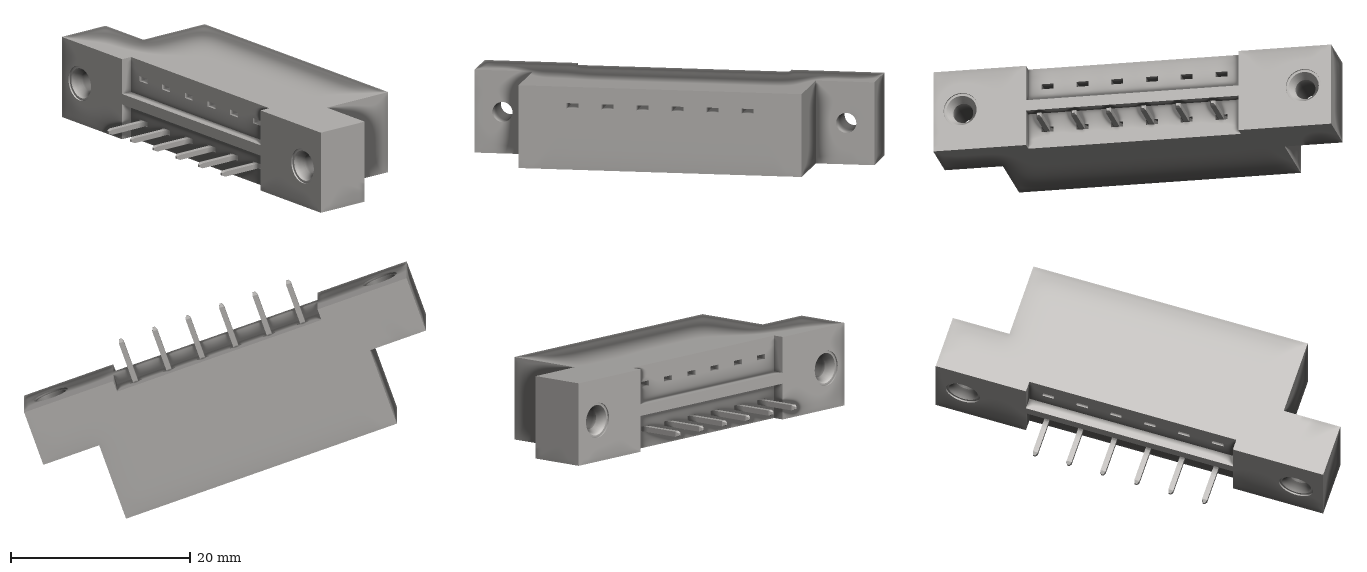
import cadquery as cq

housing_length = 45.3
housing_height = 9.4
housing_depth = 15.22
nose_length = 32.1
ear_depth = 6.35

recess_length = 24.2
recess_depth = 1.25
rib_height = 1.22

contact_count = 6
contact_row_span = 19.8
row_spacing = 5.07
slot_width = 1.35
slot_height = 0.6

pin_width = 0.6
pin_reach = 3.85
pin_tip_length = 0.35
pin_tip_width = 0.25
shoulder_length = 1.0
shoulder_setback = 0.25

mount_spacing = 38.95
bushing_radius = 2.0
bushing_recess = 0.2
bushing_mouth_radius = 1.7
bushing_lip_radius = 1.6
bushing_lip_depth = 0.23
bushing_bore_radius = 1.15
bushing_mouth_depth = 1.0

recess_height = (housing_height - rib_height) / 2
pin_row_z = -row_spacing / 2
contact_pitch = contact_row_span / (contact_count - 1)
contact_xs = [(i - (contact_count - 1) / 2) * contact_pitch for i in range(contact_count)]
mount_xs = [-mount_spacing / 2, mount_spacing / 2]


def block(length, depth, height, y_start=0.0, z_center=0.0):
    """Box centred on X whose front face lies at y_start."""
    box = cq.Workplane("XY").box(length, depth, height, centered=(True, False, True))
    return box.translate((0, y_start, z_center))


def cylinder(radius, y_start, y_end):
    """Cylinder along Y, centred on the Y axis."""
    return cq.Workplane("XZ", origin=(0, y_start, 0)).circle(radius).extrude(y_start - y_end)


def make_housing():
    body = block(housing_length, ear_depth, housing_height)
    body = body.union(block(nose_length, housing_depth, housing_height))

    recess_z = (rib_height + recess_height) / 2
    for side in (1, -1):
        body = body.cut(block(recess_length, recess_depth, recess_height, z_center=side * recess_z))

    for side in (1, -1):
        slot = block(slot_width, housing_depth, slot_height, z_center=side * row_spacing / 2)
        for x in contact_xs:
            body = body.cut(slot.translate((x, 0, 0)))

    for x in mount_xs:
        body = body.cut(cylinder(bushing_radius, 0, ear_depth).translate((x, 0, 0)))
    return body


def make_pin(x):
    """Contact that fills its slot, narrows at a shoulder and ends in a tapered tip."""
    shank_start = recess_depth + shoulder_setback
    blade_start = shank_start + shoulder_length
    tip_base = pin_tip_length - pin_reach
    profile = [
        (pin_width / 2, tip_base),
        (pin_width / 2, shank_start),
        (slot_width / 2, blade_start),
        (slot_width / 2, housing_depth),
    ]
    mirrored = [(-half_width, y) for half_width, y in reversed(profile)]
    pin = cq.Workplane("XY").polyline(profile + mirrored).close().extrude(slot_height / 2, both=True)
    tip = (
        cq.Workplane("XZ", origin=(0, tip_base, 0))
        .rect(pin_width, slot_height)
        .workplane(offset=pin_tip_length)
        .rect(pin_tip_width, pin_tip_width)
        .loft(ruled=True)
    )
    return pin.union(tip).translate((x, 0, pin_row_z))


def make_bushing(x):
    """Sleeve set below the front face, its lip chamfered and its mouth tapering into the bore."""
    lip_end = bushing_recess + bushing_lip_depth
    mouth_end = bushing_recess + bushing_mouth_depth
    profile = [
        (bushing_radius, bushing_recess),
        (bushing_mouth_radius, bushing_recess),
        (bushing_lip_radius, lip_end),
        (bushing_bore_radius, mouth_end),
        (bushing_bore_radius, ear_depth),
        (bushing_radius, ear_depth),
    ]
    sleeve = cq.Workplane("XY").polyline(profile).close().revolve(360, (0, 0, 0), (0, 1, 0))
    return sleeve.translate((x, 0, 0))


housing = make_housing()
pins = [make_pin(x) for x in contact_xs]
bushings = [make_bushing(x) for x in mount_xs]
result = cq.Compound.makeCompound([body.val() for body in [housing, *pins, *bushings]])